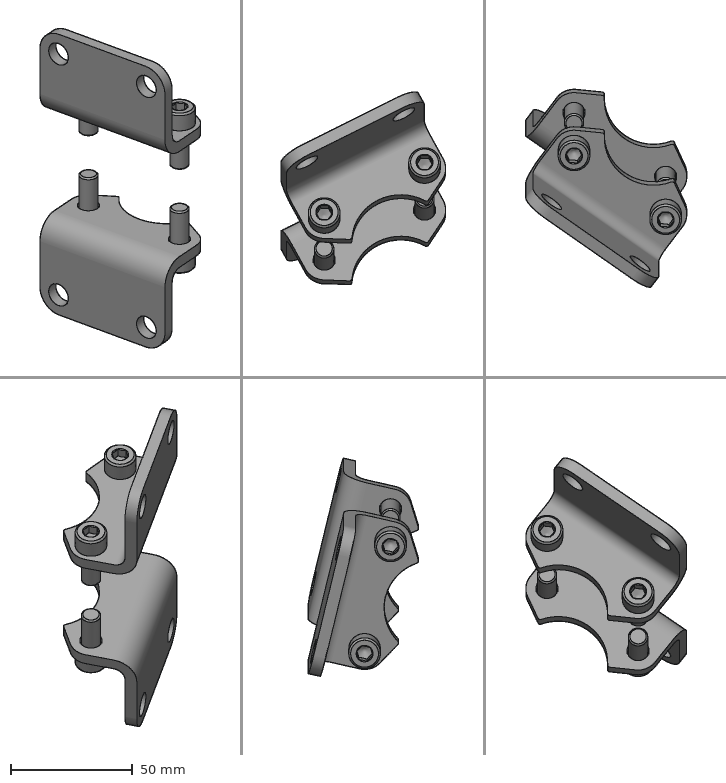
import cadquery as cq
import math

total_height = 133.0
bracket_gap = 49.9

width = 64.0
thickness = 5.0
outer_bend_radius = 10.0
corner_radius = 10.0
bracket_base = bracket_gap / 2
bracket_top = total_height / 2
flange_top = bracket_base + thickness

mount_hole_diameter = 10.0
mount_hole_spacing = 45.0
mount_hole_inset = 9.5

screw_spacing = 46.5
screw_depth = 21.8
screw_hole_diameter = 9.0
shank_diameter = 8.0
shank_length = 20.1
shank_chamfer = 0.7
head_diameter = 13.0
head_height = 8.0
head_chamfer = 0.8
socket_sides = 6
socket_across_flats = 6.0
socket_depth = 4.0
socket_turn = 30.0
socket_point_angle = 120.0

shoulder_slope = 30.0
shoulder_radius = (width - screw_spacing) / 2
saddle_radius = 20.2
saddle_center_depth = 45.4
tip_radius = 1.0


def bent_strip():
    """L-shaped strip across the full width, its upright face lying on Y = 0."""
    profile = (
        cq.Workplane("YZ")
        .moveTo(saddle_center_depth, bracket_base)
        .lineTo(outer_bend_radius, bracket_base)
        .radiusArc((0, bracket_base + outer_bend_radius), outer_bend_radius)
        .lineTo(0, bracket_top)
        .lineTo(thickness, bracket_top)
        .lineTo(thickness, bracket_base + outer_bend_radius)
        .radiusArc((outer_bend_radius, flange_top), -(outer_bend_radius - thickness))
        .lineTo(saddle_center_depth, flange_top)
        .close()
    )
    return profile.extrude(width / 2, both=True)


def flange_outline():
    """Upright prism that trims the flange: sloped shoulders and a round saddle between two tips."""
    half_width = width / 2
    height = bracket_top - bracket_base
    slope = math.tan(math.radians(shoulder_slope))
    shoulder_depth = screw_depth + shoulder_radius * math.tan(math.radians((90 - shoulder_slope) / 2))
    peak_depth = shoulder_depth + half_width * slope
    blank = (
        cq.Workplane("XY", origin=(0, 0, bracket_base))
        .polyline([
            (-half_width, 0),
            (half_width, 0),
            (half_width, shoulder_depth),
            (0, peak_depth),
            (-half_width, shoulder_depth),
        ])
        .close()
        .extrude(height)
    )
    saddle = (
        cq.Workplane("XY", origin=(0, saddle_center_depth, bracket_base))
        .circle(saddle_radius)
        .extrude(height)
    )
    rounded = blank.edges("|Z and (not <Y) and (not >Y)").fillet(shoulder_radius)
    return rounded.cut(saddle).edges("|Z").edges(">Y").fillet(tip_radius)


def make_bracket():
    """Upper angle bracket."""
    body = bent_strip().intersect(flange_outline())
    body = body.edges("|Y").edges(">Z").fillet(corner_radius)
    mount_holes = (
        cq.Workplane("XZ", origin=(0, 0, bracket_top - mount_hole_inset))
        .rarray(mount_hole_spacing, 1.3, 2, 1)
        .circle(mount_hole_diameter / 2)
        .extrude(-thickness)
    )
    screw_holes = (
        cq.Workplane("XY", origin=(0, screw_depth, bracket_base))
        .rarray(screw_spacing, 1.3, 2, 1)
        .circle(screw_hole_diameter / 2)
        .extrude(thickness)
    )
    return body.cut(mount_holes).cut(screw_holes)


def hex_socket():
    """Hexagonal recess below Z = head_height with a conical floor and a countersunk mouth."""
    flat_radius = socket_across_flats / 2
    corner_reach = flat_radius / math.cos(math.pi / socket_sides)
    floor = head_height - socket_depth
    point_depth = corner_reach / math.tan(math.radians(socket_point_angle / 2))
    mouth_depth = corner_reach - flat_radius
    drill = (
        cq.Workplane("XZ")
        .polyline([
            (0, floor - point_depth),
            (corner_reach, floor),
            (corner_reach, head_height),
            (0, head_height),
        ])
        .close()
        .revolve(360, (0, 0), (0, 1))
    )
    hexagon = (
        cq.Workplane("XY", origin=(0, 0, head_height))
        .transformed(rotate=(0, 0, socket_turn))
        .polygon(socket_sides, 2 * corner_reach)
        .extrude(-head_height)
    )
    mouth = (
        cq.Workplane("XZ")
        .polyline([
            (0, head_height),
            (corner_reach, head_height),
            (flat_radius, head_height - mouth_depth),
            (0, head_height - mouth_depth),
        ])
        .close()
        .revolve(360, (0, 0), (0, 1))
    )
    return hexagon.intersect(drill).union(mouth)


def make_screw():
    """Socket head cap screw on the Z axis, seated with its head bearing on Z = 0."""
    head = cq.Workplane("XY").circle(head_diameter / 2).extrude(head_height)
    head = head.faces(">Z").chamfer(head_chamfer)
    shank = cq.Workplane("XY").circle(shank_diameter / 2).extrude(-shank_length)
    shank = shank.faces("<Z").chamfer(shank_chamfer)
    return head.union(shank).cut(hex_socket())


upper_bodies = [make_bracket().val()]
for side in (-1, 1):
    seat = (side * screw_spacing / 2, screw_depth, flange_top)
    upper_bodies.append(make_screw().translate(seat).val())

lower_bodies = [body.mirror("XY") for body in upper_bodies]

result = cq.Compound.makeCompound([*upper_bodies, *lower_bodies])